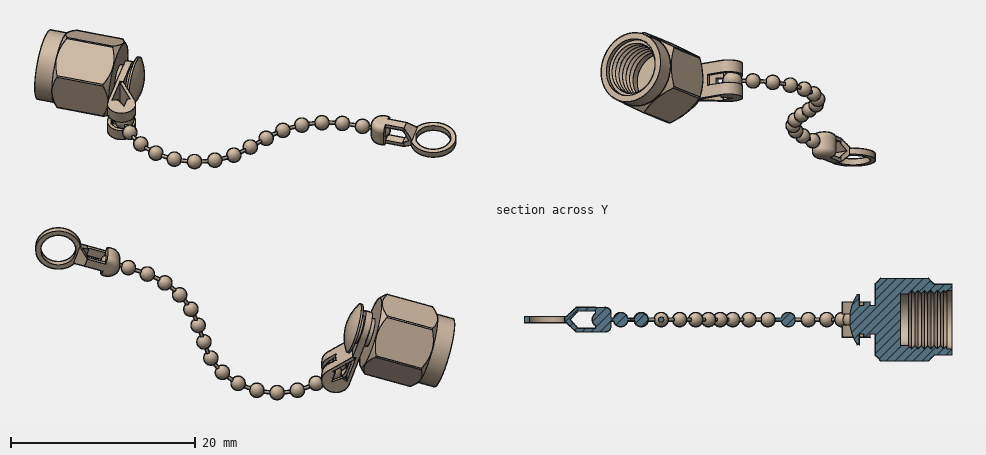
import cadquery as cq
import math

TOTAL_LENGTH = 46.4

COLLAR_LENGTH = 1.95
COLLAR_RADIUS = 3.85
NUT_LENGTH = 8.35
HEX_ACROSS_FLATS = 7.9
HEX_CORNER_RADIUS = 4.5
HEX_CHAMFER = 0.6

BORE_RADIUS = 2.8
BORE_DEPTH = 5.55
RELIEF_RADIUS = 3.15
RELIEF_DEPTH = 0.55
THREAD_PITCH = 0.7
THREAD_COUNT = 6

STUD_RADIUS = 1.6
HEAD_START = 10.05
HEAD_RADIUS = 2.75
HEAD_RIM = 0.25
HEAD_DOME = 0.85

STRAP_START = 8.85
STRAP_THICKNESS = 0.35
STRAP_WIDTH = 3.85
STRAP_END_Y = 0.3
BEND_Y = -2.4
DRUM_RADIUS = 1.55
DRUM_X = STRAP_START + DRUM_RADIUS
DRUM_Y = -5.9
DRUM_MOUTH_LEFT_Y = -5.75
DRUM_MOUTH_SLOPE = 22.5
NOTCH_X = 9.85
SLOT_WIDTH = 1.2
SLOT_START_Y = -4.18

BEAD_RADIUS = 0.8
ANCHOR_BEAD_RADIUS = 1.05
BEAD_SPACING = 2.23
BEAD_COUNT = 16
WIRE_RADIUS = 0.2
CHAIN_START = (10.75, -6.15)
CHAIN_HEADING = -65.8
FIRST_BEND_RADIUS = 8.03
FIRST_BEND_SWEEP = 121.2
STRAIGHT_LENGTH = 3.5
LAST_BEND_RADIUS = 9.97
LAST_BEND_SWEEP = 52.2
CHAIN_LENGTH = BEAD_SPACING * (BEAD_COUNT - 1)
FIRST_BEND_LENGTH = FIRST_BEND_RADIUS * math.radians(FIRST_BEND_SWEEP)
LAST_BEND_LENGTH = LAST_BEND_RADIUS * math.radians(LAST_BEND_SWEEP)
END_LENGTH = CHAIN_LENGTH - FIRST_BEND_LENGTH - STRAIGHT_LENGTH - LAST_BEND_LENGTH
CHAIN_SEGMENTS = [
    (FIRST_BEND_LENGTH, 1 / FIRST_BEND_RADIUS),
    (STRAIGHT_LENGTH, 0),
    (LAST_BEND_LENGTH, -1 / LAST_BEND_RADIUS),
    (END_LENGTH, 0),
]

CLASP_Y = -0.2
CLASP_X = 38.25
CLASP_RADIUS = 1.3
CLASP_HEIGHT = 2.7
CLASP_FILLET = 0.65
CLASP_CUT = 0.4
ARM_THICKNESS = 0.4
ARM_WIDTH = 0.97
ARM_BEND_X = 40.8
FLARE_END_X = 41.85
FLARE_WIDTH = 2.23
EYELET_RADIUS = 2.45
EYELET_HOLE_RADIUS = 1.9
EYELET_THICKNESS = 0.7
EYELET_X = TOTAL_LENGTH - EYELET_RADIUS


def rod(start, length, radius):
    """Cylinder on the X axis."""
    return cq.Workplane("YZ", origin=(start, 0, 0)).circle(radius).extrude(length)


def plate(points, height):
    """Polygon in XY, extruded evenly above and below Z = 0."""
    return cq.Workplane("XY").polyline(points).close().extrude(height / 2, both=True)


def disc(x, y, radius, height):
    """Upright cylinder, even above and below Z = 0."""
    return cq.Workplane("XY", origin=(x, y, -height / 2)).circle(radius).extrude(height)


def make_nut():
    hex_length = NUT_LENGTH - COLLAR_LENGTH
    turned = rod(COLLAR_LENGTH, hex_length, HEX_CORNER_RADIUS).edges().chamfer(HEX_CHAMFER)
    hexagon = (
        cq.Workplane("YZ", origin=(COLLAR_LENGTH, 0, 0))
        .transformed(rotate=(0, 0, 90))
        .polygon(6, HEX_ACROSS_FLATS / math.cos(math.pi / 6))
        .extrude(hex_length)
    )
    return hexagon.intersect(turned).union(rod(0, COLLAR_LENGTH, COLLAR_RADIUS))


def make_bore():
    """Bore, entry relief and V-shaped thread grooves as one revolved body."""
    profile = cq.Workplane("XY").lineTo(0, RELIEF_RADIUS).lineTo(RELIEF_DEPTH, RELIEF_RADIUS)
    profile = profile.lineTo(RELIEF_DEPTH, BORE_RADIUS)
    for groove in range(THREAD_COUNT):
        groove_start = RELIEF_DEPTH + groove * THREAD_PITCH
        profile = profile.lineTo(groove_start + THREAD_PITCH / 2, RELIEF_RADIUS)
        profile = profile.lineTo(groove_start + THREAD_PITCH, BORE_RADIUS)
    profile = profile.lineTo(BORE_DEPTH, BORE_RADIUS).lineTo(BORE_DEPTH, 0).close()
    return profile.revolve(360, (0, 0, 0), (1, 0, 0))


def make_stud():
    """Stud reaching from the nut to a head with a thin rim and a spherical dome."""
    rim_end = HEAD_START + HEAD_RIM
    dome_radius = (HEAD_RADIUS**2 + HEAD_DOME**2) / (2 * HEAD_DOME)
    dome_centre = rim_end + HEAD_DOME - dome_radius
    half_angle = math.asin(HEAD_RADIUS / dome_radius) / 2
    mid_dome = (
        dome_centre + dome_radius * math.cos(half_angle),
        dome_radius * math.sin(half_angle),
    )
    head = (
        cq.Workplane("XY")
        .moveTo(HEAD_START, 0)
        .lineTo(HEAD_START, HEAD_RADIUS)
        .lineTo(rim_end, HEAD_RADIUS)
        .threePointArc(mid_dome, (rim_end + HEAD_DOME, 0))
        .close()
        .revolve(360, (0, 0, 0), (1, 0, 0))
    )
    return head.union(rod(NUT_LENGTH, HEAD_START - NUT_LENGTH, STUD_RADIUS))


def make_leaf(start, end_y):
    """Flat leaf with a rounded upper end, reaching down to end_y."""
    round_end = (
        cq.Workplane("YZ", origin=(start, 0, 0))
        .center(STRAP_END_Y, 0)
        .circle(STRAP_WIDTH / 2)
        .extrude(STRAP_THICKNESS)
    )
    straight = plate(
        [
            (start, STRAP_END_Y),
            (start + STRAP_THICKNESS, STRAP_END_Y),
            (start + STRAP_THICKNESS, end_y),
            (start, end_y),
        ],
        STRAP_WIDTH,
    )
    return straight.union(round_end)


def make_drum():
    """Hollow drum, open above its slanted mouth, with a triangular notch in its end caps."""
    slope = math.tan(math.radians(DRUM_MOUTH_SLOPE))

    def mouth_y(x):
        return DRUM_MOUTH_LEFT_Y + slope * (x - STRAP_START)

    left = DRUM_X - DRUM_RADIUS
    right = DRUM_X + DRUM_RADIUS
    top = DRUM_Y + DRUM_RADIUS
    above_mouth = plate(
        [(left, mouth_y(left)), (right, mouth_y(right)), (right, top), (left, top)],
        STRAP_WIDTH,
    )
    notch_right, notch_bottom = CHAIN_START
    notch = plate(
        [
            (NOTCH_X, mouth_y(NOTCH_X)),
            (notch_right, mouth_y(notch_right)),
            (notch_right, notch_bottom),
        ],
        STRAP_WIDTH,
    )
    cavity_radius = DRUM_RADIUS - STRAP_THICKNESS
    cavity_height = STRAP_WIDTH - 2 * STRAP_THICKNESS
    cavity = disc(DRUM_X, DRUM_Y, cavity_radius, cavity_height)
    drum = disc(DRUM_X, DRUM_Y, DRUM_RADIUS, STRAP_WIDTH)
    return drum.cut(cavity).cut(above_mouth).cut(notch)


def make_slanted_leaf(bend_x):
    """Leaf from the bend at (bend_x, BEND_Y) to where it meets the drum tangentially."""
    dx = bend_x - DRUM_X
    dy = BEND_Y - DRUM_Y
    tangent_angle = math.atan2(dy, dx) - math.acos(DRUM_RADIUS / math.hypot(dx, dy))
    normal_x = math.cos(tangent_angle)
    normal_y = math.sin(tangent_angle)
    inner_radius = DRUM_RADIUS - STRAP_THICKNESS
    return plate(
        [
            (bend_x, BEND_Y),
            (DRUM_X + DRUM_RADIUS * normal_x, DRUM_Y + DRUM_RADIUS * normal_y),
            (DRUM_X + inner_radius * normal_x, DRUM_Y + inner_radius * normal_y),
            (bend_x - STRAP_THICKNESS * normal_x, BEND_Y - STRAP_THICKNESS * normal_y),
        ],
        STRAP_WIDTH,
    )


def make_strap():
    second_start = STRAP_START + STRAP_THICKNESS
    strap = (
        make_leaf(STRAP_START, DRUM_Y)
        .union(make_leaf(second_start, BEND_Y))
        .union(make_slanted_leaf(second_start + STRAP_THICKNESS))
        .union(make_drum())
    )
    slot_left = STRAP_START
    slot_right = DRUM_X + DRUM_RADIUS
    slot_bottom = DRUM_Y - DRUM_RADIUS
    slot = plate(
        [
            (slot_left, SLOT_START_Y),
            (slot_right, SLOT_START_Y),
            (slot_right, slot_bottom),
            (slot_left, slot_bottom),
        ],
        SLOT_WIDTH,
    )
    return strap.cut(slot)


def chain_point(distance):
    """Place on the chain's centre line, found by walking along its segments."""
    x, y = CHAIN_START
    heading = math.radians(CHAIN_HEADING)
    for length, curvature in CHAIN_SEGMENTS:
        step = min(distance, length)
        distance -= step
        turn = step * curvature
        chord = step
        if turn:
            chord = 2 / curvature * math.sin(turn / 2)
        x += chord * math.cos(heading + turn / 2)
        y += chord * math.sin(heading + turn / 2)
        heading += turn
    return (x, y)


def make_bead(x, y, radius):
    """Ball whose seam faces -X, clear of the clasp's flat end face."""
    return cq.Workplane("XY").sphere(radius).rotate((0, 0, 0), (0, 0, 1), 180).translate((x, y, 0))


def make_chain():
    path = cq.Workplane("XY").moveTo(*CHAIN_START)
    travelled = 0.0
    for length, curvature in CHAIN_SEGMENTS:
        segment_end = chain_point(travelled + length)
        if curvature:
            path = path.threePointArc(chain_point(travelled + length / 2), segment_end)
        else:
            path = path.lineTo(*segment_end)
        travelled += length

    heading = math.radians(CHAIN_HEADING)
    start_plane = cq.Plane(
        origin=(*CHAIN_START, 0),
        xDir=(0, 0, 1),
        normal=(math.cos(heading), math.sin(heading), 0),
    )
    chain = cq.Workplane(start_plane).circle(WIRE_RADIUS).sweep(path)
    chain = chain.union(make_bead(*CHAIN_START, ANCHOR_BEAD_RADIUS))
    for bead in range(1, BEAD_COUNT - 1):
        x, y = chain_point(bead * BEAD_SPACING)
        chain = chain.union(make_bead(x, y, BEAD_RADIUS))
    return chain


def make_arms():
    """Two arms that leave the clasp, converge on the eyelet and flare to meet it."""
    outer_z = CLASP_HEIGHT / 2
    inner_z = outer_z - ARM_THICKNESS
    eyelet_z = EYELET_THICKNESS / 2
    side = (
        cq.Workplane("XZ", origin=(0, CLASP_Y, 0))
        .polyline(
            [
                (CLASP_X, outer_z),
                (ARM_BEND_X, outer_z),
                (FLARE_END_X, eyelet_z),
                (FLARE_END_X, 0),
                (FLARE_END_X - ARM_THICKNESS, 0),
                (ARM_BEND_X - ARM_THICKNESS / 2, inner_z),
                (CLASP_X, inner_z),
            ]
        )
        .close()
        .extrude(FLARE_WIDTH / 2, both=True)
    )
    half_arm = ARM_WIDTH / 2
    half_flare = FLARE_WIDTH / 2
    outline = plate(
        [
            (CLASP_X, CLASP_Y - half_arm),
            (ARM_BEND_X, CLASP_Y - half_arm),
            (FLARE_END_X, CLASP_Y - half_flare),
            (FLARE_END_X, CLASP_Y + half_flare),
            (ARM_BEND_X, CLASP_Y + half_arm),
            (CLASP_X, CLASP_Y + half_arm),
        ],
        CLASP_HEIGHT,
    )
    upper = side.intersect(outline)
    return upper.union(upper.mirror("XY"))


def make_clasp():
    body = disc(CLASP_X, CLASP_Y, CLASP_RADIUS, CLASP_HEIGHT).edges("%CIRCLE").fillet(CLASP_FILLET)
    beyond_cut = (
        cq.Workplane("XY", origin=(CLASP_X + CLASP_CUT, CLASP_Y, 0))
        .box(CLASP_RADIUS, 2 * CLASP_RADIUS, CLASP_HEIGHT, centered=(False, True, True))
    )
    body = body.cut(beyond_cut).union(make_bead(CLASP_X, CLASP_Y, BEAD_RADIUS))
    eyelet = disc(EYELET_X, CLASP_Y, EYELET_RADIUS, EYELET_THICKNESS)
    hole = disc(EYELET_X, CLASP_Y, EYELET_HOLE_RADIUS, CLASP_HEIGHT)
    return body.union(make_arms()).union(eyelet).cut(hole)


cap = make_nut().cut(make_bore()).union(make_stud())
result = cap.union(make_strap()).union(make_chain()).union(make_clasp())